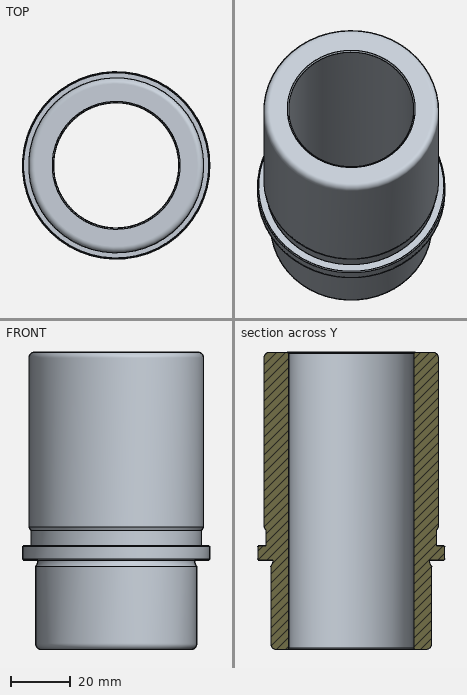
import cadquery as cq
import math

total_height = 100.0
bore_radius = 21.0
bore_chamfer = 0.5
end_round = 2.0

spigot_radius = 27.1
undercut_radius = 26.4
undercut_height = 2.0

collar_radius = 31.5
collar_bottom = 30.0
collar_height = 5.0
collar_chamfer = 0.4

groove_radius = 28.7
groove_height = 5.0
groove_taper_angle = 30.0

body_radius = 29.4

collar_top = collar_bottom + collar_height
groove_top = collar_top + groove_height
taper_height = (body_radius - groove_radius) / math.tan(math.radians(groove_taper_angle))
round_diagonal = end_round * math.sqrt(0.5)

undercut_depth = spigot_radius - undercut_radius
flare_radius = (undercut_height**2 + undercut_depth**2) / (2 * undercut_depth)
flare_centre_radius = undercut_radius + flare_radius
half_sweep = math.asin(undercut_height / flare_radius) / 2


def spigot_profile():
    """Half section of the spigot, rounded at its foot and undercut below the collar."""
    face_radius = spigot_radius - end_round
    undercut_bottom = collar_bottom - undercut_height
    return (
        cq.Workplane("XZ")
        .lineTo(face_radius, 0)
        .threePointArc(
            (face_radius + round_diagonal, end_round - round_diagonal),
            (spigot_radius, end_round),
        )
        .lineTo(spigot_radius, undercut_bottom)
        .threePointArc(
            (flare_centre_radius - flare_radius * math.cos(half_sweep),
             collar_bottom - flare_radius * math.sin(half_sweep)),
            (undercut_radius, collar_bottom),
        )
        .lineTo(0, collar_bottom)
        .close()
    )


def body_profile():
    """Half section of the relief groove and the upper body."""
    face_radius = body_radius - end_round
    shoulder_z = total_height - end_round
    return (
        cq.Workplane("XZ")
        .moveTo(0, collar_top)
        .lineTo(groove_radius, collar_top)
        .lineTo(groove_radius, groove_top)
        .lineTo(body_radius, groove_top + taper_height)
        .lineTo(body_radius, shoulder_z)
        .threePointArc(
            (face_radius + round_diagonal, shoulder_z + round_diagonal),
            (face_radius, total_height),
        )
        .lineTo(0, total_height)
        .close()
    )


def turn(profile):
    """Revolve a half section about the Z axis."""
    return profile.revolve(360, (0, 0, 0), (0, 1, 0))


collar = (
    cq.Workplane("XY", origin=(0, 0, collar_bottom))
    .circle(collar_radius)
    .extrude(collar_height)
    .edges()
    .chamfer(collar_chamfer)
)

bore = cq.Workplane("XY").circle(bore_radius).extrude(total_height)

result = (
    turn(spigot_profile())
    .union(collar)
    .union(turn(body_profile()))
    .cut(bore)
    .faces("<Z or >Z")
    .edges(cq.selectors.RadiusNthSelector(0))
    .chamfer(bore_chamfer)
)